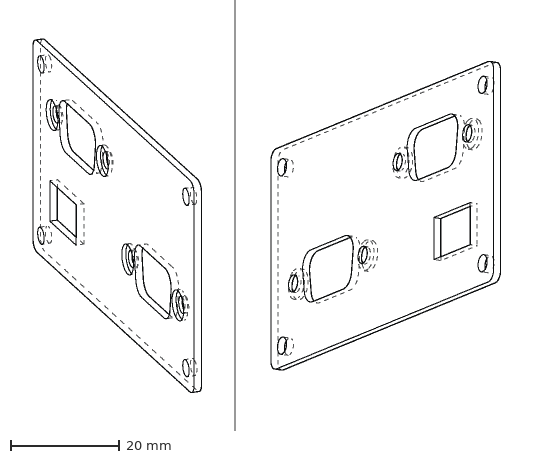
import cadquery as cq
import math

length = 80.0
height = 42.0
thickness = 1.5
corner_radius = 2.0

hole_diameter = 3.2
mount_inset = 4.0
counterbore_diameter = 5.8
counterbore_depth = 0.8

screw_spacing = 25.0
connector_height = 10.0
connector_mid_width = 17.6
connector_side_tilt = 8.0
connector_radius = 3.0
upper_connector = (-18.0, 9.0)
connector_shift_x = 37.5
connector_shift_z = -15.0
lower_connector = (upper_connector[0] + connector_shift_x, upper_connector[1] + connector_shift_z)
connectors = [upper_connector, lower_connector]

window_width = 13.0
window_height = 8.0
window_center = (-25.0, -8.5)


def front_plane():
    """XZ workplane on the front face, with its normal pointing out of the plate."""
    return cq.Workplane("XZ", origin=(0, -thickness / 2, 0))


def make_plate():
    plate = front_plane().rect(length, height).extrude(-thickness)
    return plate.edges("|Y").fillet(corner_radius)


def cut_mounting_holes(plate):
    spacing_x = length - 2 * mount_inset
    spacing_z = height - 2 * mount_inset
    holes = front_plane().rarray(spacing_x, spacing_z, 2, 2).circle(hole_diameter / 2)
    return plate.cut(holes.extrude(-thickness))


def connector_opening(center):
    x, z = center
    half_height = connector_height / 2
    side_lean = half_height * math.tan(math.radians(connector_side_tilt))
    half_top = connector_mid_width / 2 + side_lean
    half_bottom = connector_mid_width / 2 - side_lean
    corners = [
        (x - half_top, z + half_height),
        (x + half_top, z + half_height),
        (x + half_bottom, z - half_height),
        (x - half_bottom, z - half_height),
    ]
    opening = front_plane().polyline(corners).close().extrude(-thickness)
    return opening.edges("|Y").fillet(connector_radius)


def screw_holes(center):
    x, z = center
    points = [(x - screw_spacing / 2, z), (x + screw_spacing / 2, z)]
    through = front_plane().pushPoints(points).circle(hole_diameter / 2).extrude(-thickness)
    recess = front_plane().pushPoints(points).circle(counterbore_diameter / 2)
    return through.union(recess.extrude(-counterbore_depth))


def cut_window(plate):
    window = front_plane().center(*window_center).rect(window_width, window_height)
    return plate.cut(window.extrude(-thickness))


result = cut_mounting_holes(make_plate())
for connector in connectors:
    result = result.cut(connector_opening(connector))
    result = result.cut(screw_holes(connector))
result = cut_window(result)